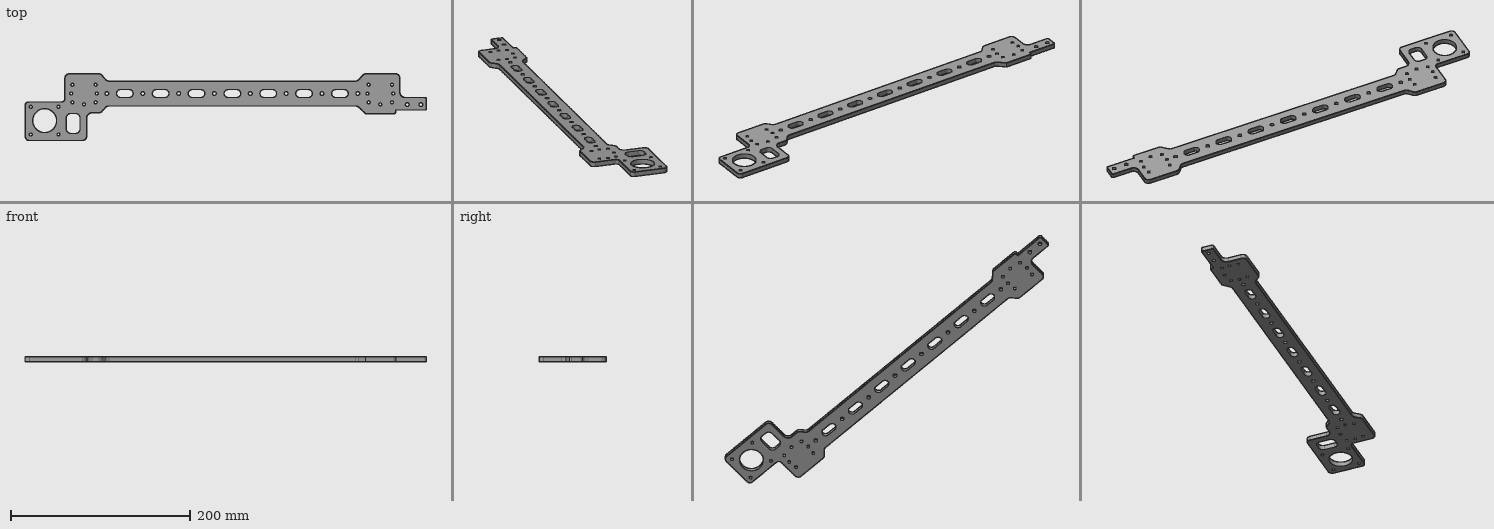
import cadquery as cq

length = 447.5
width = 74.7
thickness = 6.0

corner_radius = 5.0
inner_radius = 6.0
plate_corner_radius = 4.0
plate_root_radius = 3.5
tab_root_radius = 2.2
tab_radius = 2.0
edge_chamfer = 0.5

motor_plate_right = 69.0
motor_plate_top = 43.5
motor_center_x = 22.0
motor_center_y = 22.5
motor_bore_diameter = 26.5
motor_bolt_spacing = 31.0
motor_bolt_diameter = 3.0

window_center = (53.5, 19.2)
window_size = (15.0, 22.0)
window_radius = 5.0

arm_top = 66.5
arm_bottom = 38.5
arm_center_y = (arm_top + arm_bottom) / 2
arm_start = 91.5
arm_end = 370.5

head_left = 44.5
head_right = 418.0
left_head_bottom = 31.0
right_head_bottom = 30.0
left_head_end = 84.5
right_head_top_start = 377.5
right_head_bottom_start = 379.5

tab_top = 48.5
tab_bottom = 34.0
tab_root = 413.5
tab_hole_xs = (426.0, 441.2)
tab_hole_y = 40.3
tab_hole_diameter = 4.0

arm_row_start = 91.5
arm_row_end = 371.0
arm_slot_count = 7
arm_pitch = (arm_row_end - arm_row_start) / arm_slot_count
arm_hole_diameter = 4.0
slot_length = 18.5
slot_width = 8.5

left_pattern_x = 66.0
right_pattern_x = 396.0
pattern_corner_offset_x = 13.0
pattern_corner_offset_y = 10.0
pattern_side_offset = 14.5
pattern_bottom_offset = 12.0
pattern_hole_diameter = 3.0


def extrude_outline():
    outline = [
        (0, 0),
        (motor_plate_right, 0),
        (motor_plate_right, left_head_bottom),
        (left_head_end, left_head_bottom),
        (arm_start, arm_bottom),
        (arm_end, arm_bottom),
        (right_head_bottom_start, right_head_bottom),
        (tab_root, right_head_bottom),
        (tab_root, tab_bottom),
        (length, tab_bottom),
        (length, tab_top),
        (head_right, tab_top),
        (head_right, width),
        (right_head_top_start, width),
        (arm_end, arm_top),
        (arm_start, arm_top),
        (left_head_end, width),
        (head_left, width),
        (head_left, motor_plate_top),
        (0, motor_plate_top),
    ]
    return cq.Workplane("XY").polyline(outline).close().extrude(thickness)


def round_corners(plate, corners, radius):
    for x, y in corners:
        nearest = cq.selectors.NearestToPointSelector((x, y, thickness / 2))
        plate = plate.edges("|Z").edges(nearest).fillet(radius)
    return plate


def make_plate():
    plate = extrude_outline()
    main_corners = [
        (0, 0),
        (motor_plate_right, 0),
        (left_head_end, left_head_bottom),
        (arm_start, arm_bottom),
        (arm_end, arm_bottom),
        (head_right, width),
        (right_head_top_start, width),
        (arm_end, arm_top),
        (arm_start, arm_top),
        (left_head_end, width),
        (head_left, width),
    ]
    inner_corners = [(motor_plate_right, left_head_bottom), (head_right, tab_top)]
    tab_corners = [(length, tab_bottom), (length, tab_top)]
    plate = round_corners(plate, main_corners, corner_radius)
    plate = round_corners(plate, inner_corners, inner_radius)
    plate = round_corners(plate, [(0, motor_plate_top)], plate_corner_radius)
    plate = round_corners(plate, [(head_left, motor_plate_top)], plate_root_radius)
    plate = round_corners(plate, [(tab_root, right_head_bottom)], tab_root_radius)
    plate = round_corners(plate, tab_corners, tab_radius)
    return plate.faces("<Z or >Z").edges().chamfer(edge_chamfer)


def drill(plate, points, diameter):
    holes = cq.Workplane("XY").pushPoints(points).circle(diameter / 2).extrude(thickness)
    return plate.cut(holes)


def rectangle_points(center_x, center_y, offset_x, offset_y):
    return [(center_x + i * offset_x, center_y + j * offset_y) for i in (-1, 1) for j in (-1, 1)]


def head_pattern(center_x):
    corners = rectangle_points(center_x, arm_center_y, pattern_corner_offset_x, pattern_corner_offset_y)
    sides = [(center_x + i * pattern_side_offset, arm_center_y) for i in (-1, 1)]
    bottom = (center_x, arm_center_y - pattern_bottom_offset)
    return corners + sides + [bottom]


plate = make_plate()

bolt_offset = motor_bolt_spacing / 2
motor_bolts = rectangle_points(motor_center_x, motor_center_y, bolt_offset, bolt_offset)
plate = drill(plate, [(motor_center_x, motor_center_y)], motor_bore_diameter)
plate = drill(plate, motor_bolts, motor_bolt_diameter)

window = cq.Workplane("XY").center(*window_center).rect(*window_size).extrude(thickness)
plate = plate.cut(window.edges("|Z").fillet(window_radius))

arm_holes = [(arm_row_start + i * arm_pitch, arm_center_y) for i in range(arm_slot_count + 1)]
slot_centers = [(x + arm_pitch / 2, y) for x, y in arm_holes[:-1]]
slots = cq.Workplane("XY").pushPoints(slot_centers).slot2D(slot_length, slot_width).extrude(thickness)
plate = drill(plate, arm_holes, arm_hole_diameter)
plate = plate.cut(slots)

for pattern_x in (left_pattern_x, right_pattern_x):
    plate = drill(plate, head_pattern(pattern_x), pattern_hole_diameter)

plate = drill(plate, [(x, tab_hole_y) for x in tab_hole_xs], tab_hole_diameter)

result = plate